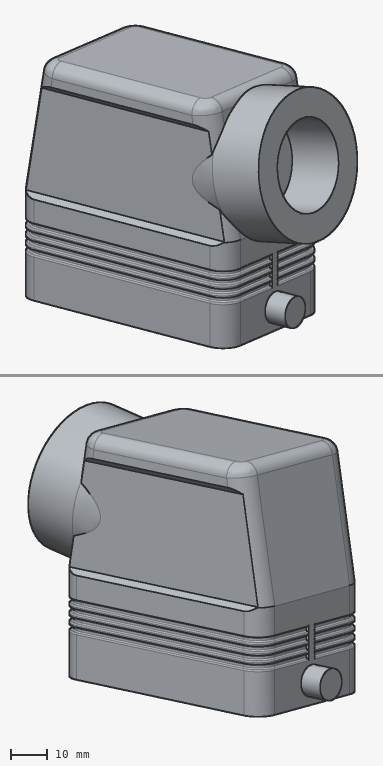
import cadquery as cq
import math

overall_length = 95.0
overall_height = 71.7

body_length = 73.0
body_width = 43.0
body_height = 70.0
shoulder_height = 30.8
lean = math.radians(10.0)
corner_radius = 6.0
top_radius = 4.0

panel_depth = 1.5
panel_bottom = 31.0
panel_top = 61.9

groove_count = 4
groove_pitch = 2.6
groove_width = 1.4
groove_depth = 0.95
groove_edge_radius = 0.4
lowest_groove_height = 13.9
rib_width = 2.5

pin_diameter = 9.0
pin_height = 6.8
pin_span = 86.85

collar_radius = body_width / 2
collar_length = 16.3
collar_face_x = overall_length - pin_span / 2 - collar_radius * math.sin(lean)
collar_face_z = overall_height - collar_radius * math.cos(lean)
root_length = 12.4
root_taper = math.radians(10.0)
bore_radius = 13.3


def rounded_prism(length, width, height):
    """Upright block on the bottom plane with rounded corners."""
    return (
        cq.Workplane("XY")
        .rect(length, width)
        .extrude(height)
        .edges("|Z")
        .fillet(corner_radius)
    )


def grooved_base():
    """Straight lower part with rounded grip grooves all the way around."""
    base = rounded_prism(body_length, body_width, shoulder_height)
    core = rounded_prism(body_length - 2 * groove_depth, body_width - 2 * groove_depth, shoulder_height)
    for index in range(groove_count):
        slot_centre = lowest_groove_height + index * groove_pitch
        slot = cq.Workplane("XY", origin=(0, 0, slot_centre)).box(body_length, body_width, groove_width)
        base = base.cut(slot.cut(core))
    slot_edges = cq.selectors.BoxSelector(
        (-body_length, -body_width, lowest_groove_height - groove_pitch),
        (body_length, body_width, lowest_groove_height + groove_count * groove_pitch),
    )
    return base.edges(slot_edges).edges("not |Z").fillet(groove_edge_radius)


def end_ribs():
    """Upright ribs that fill the grooves in the middle of both ends."""
    ribs_height = groove_count * groove_pitch
    ribs_centre = lowest_groove_height + (groove_count - 1) * groove_pitch / 2
    return cq.Workplane("XY", origin=(0, 0, ribs_centre)).box(body_length, rib_width, ribs_height)


def leaning_top():
    """Upper part whose end walls lean inward, with a rounded rim."""
    rise = body_height - shoulder_height
    top_half_length = body_length / 2 - rise * math.tan(lean)
    outline = [
        (-body_length / 2, shoulder_height),
        (body_length / 2, shoulder_height),
        (top_half_length, body_height),
        (-top_half_length, body_height),
    ]
    block = cq.Workplane("XZ").polyline(outline).close().extrude(body_width / 2, both=True)
    rounded_block = block.faces("<Y or >Y").edges("not #Z").fillet(corner_radius)
    return rounded_block.faces(">Z").edges().fillet(top_radius)


def side_panel():
    """Cutter for the recess on the -Y side, with sloping upper and lower borders."""
    outer_y = -body_width / 2
    inner_y = outer_y + panel_depth
    outline = [
        (outer_y, panel_bottom - panel_depth),
        (inner_y, panel_bottom),
        (inner_y, panel_top),
        (outer_y, panel_top + panel_depth),
    ]
    return cq.Workplane("YZ").polyline(outline).close().extrude(body_length / 2, both=True)


collar_plane = cq.Plane(
    origin=(collar_face_x, 0, collar_face_z),
    xDir=(0, 1, 0),
    normal=(-math.cos(lean), 0, -math.sin(lean)),
)


def collar():
    """Cylinder with a conical root that narrows into the body."""
    root_end_radius = collar_radius - root_length * math.tan(root_taper)
    profile = [
        (0, 0),
        (collar_radius, 0),
        (collar_radius, collar_length),
        (root_end_radius, collar_length + root_length),
        (0, collar_length + root_length),
    ]
    profile_plane = cq.Plane(
        origin=collar_plane.origin, xDir=collar_plane.xDir, normal=collar_plane.xDir.cross(collar_plane.zDir)
    )
    return cq.Workplane(profile_plane).polyline(profile).close().revolve(360, (0, 0), (0, 1))


def collar_bore():
    """Blind bore through the cylindrical part of the collar."""
    return cq.Workplane(collar_plane).circle(bore_radius).extrude(collar_length)


def pins():
    """Both locking pins as one rod through the body."""
    return (
        cq.Workplane("YZ", origin=(0, 0, pin_height))
        .circle(pin_diameter / 2)
        .extrude(pin_span / 2, both=True)
    )


body = grooved_base().union(end_ribs()).union(leaning_top())
panel = side_panel()
body = body.cut(panel).cut(panel.mirror("XZ"))
result = body.union(pins()).union(collar()).cut(collar_bore())